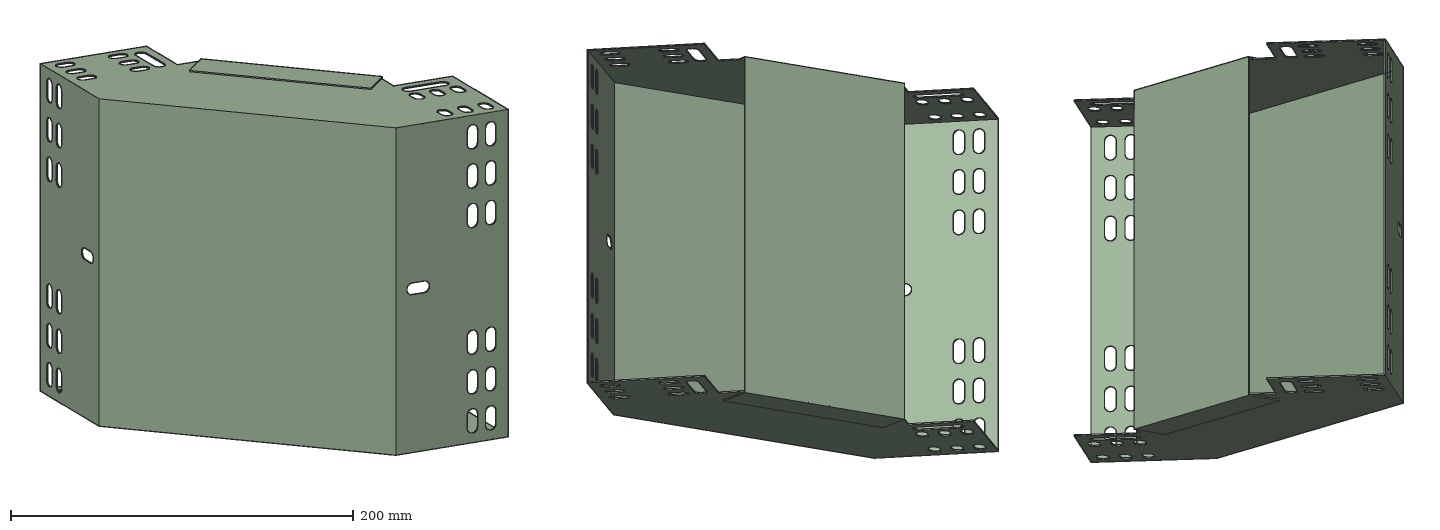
import cadquery as cq
import math

LENGTH = 286.7
DEPTH = 102.0
HEIGHT = 203.3
SHEET = 0.8
FLANK_ANGLE = 45.0
CUT_DEPTH = 4 * SHEET

FLANK_RUN = 52.5
NOTCH_RUN = 27.5

COVER_LENGTH = 111.3
COVER_REAR = 87.0
LIP_DEPTH = 23.0

FLANK_SLOT_LENGTH = 15.0
FLANK_SLOT_WIDTH = 7.0
FLANK_SLOT_ALONG = (11.5, 23.5)
FLANK_SLOT_HEIGHTS = (39.0, 63.5, 87.5)

CENTRE_SLOT_LENGTH = 15.0
CENTRE_SLOT_WIDTH = 7.2
CENTRE_SLOT_ALONG = 59.4

PLATE_SLOT_LENGTH = 12.0
PLATE_SLOT_WIDTH = 7.0
PLATE_SLOT_FIRST = 8.5
PLATE_SLOT_PITCH = 13.5
PLATE_SLOTS_PER_ROW = 3
PLATE_SLOT_INWARD = (12.0, 47.0)

LONG_SLOT_LENGTH = 30.0
LONG_SLOT_WIDTH = 7.5
LONG_SLOT_ALONG = 23.0
LONG_SLOT_INWARD = 60.5

TRAY_HEIGHT = HEIGHT - 2 * SHEET
INNER_HEIGHT = TRAY_HEIGHT - 2 * SHEET
CORNER_X = LENGTH / 2
FRONT_CORNER_X = CORNER_X - FLANK_RUN
TIP_X = CORNER_X - (DEPTH - FLANK_RUN)
NOTCH_X = TIP_X - NOTCH_RUN
NOTCH_Y = DEPTH - NOTCH_RUN
PLATE_REAR = COVER_REAR - SHEET
PLATE_REAR_X = NOTCH_X - (PLATE_REAR - NOTCH_Y)


def mirrored_outline(right_half):
    """Closed outline from its +X points, listed from front to rear."""
    left_half = [(-x, y) for x, y in reversed(right_half)]
    return cq.Workplane("XY").polyline(right_half + left_half).close()


def slot(length, width, angle):
    """Slot cutter around the origin, its long axis turned from X in the XY plane."""
    return cq.Workplane("XY").slot2D(length, width, angle).extrude(CUT_DEPTH / 2, both=True)


def at_flank(cutter, along, inward, z):
    """Move a cutter from flank coordinates to the left flank of the tray."""
    return (
        cutter.translate((along, inward, z))
        .rotate((0, 0, 0), (0, 0, 1), -FLANK_ANGLE)
        .translate((-CORNER_X, FLANK_RUN, 0))
    )


def flank_wall_slots():
    """Cutters for the upright slots and the single centre slot of the left flank."""
    upright = slot(FLANK_SLOT_LENGTH, FLANK_SLOT_WIDTH, 90).rotate((0, 0, 0), (1, 0, 0), 90)
    centre = slot(CENTRE_SLOT_LENGTH, CENTRE_SLOT_WIDTH, 0).rotate((0, 0, 0), (1, 0, 0), 90)
    cutters = [at_flank(centre, CENTRE_SLOT_ALONG, 0, 0)]
    for along in FLANK_SLOT_ALONG:
        for height in FLANK_SLOT_HEIGHTS:
            cutters.append(at_flank(upright, along, 0, height))
            cutters.append(at_flank(upright, along, 0, -height))
    return cutters


def plate_slots():
    """Cutters for the slots at the left end of the top and bottom plates."""
    row_slot = slot(PLATE_SLOT_LENGTH, PLATE_SLOT_WIDTH, 90)
    long_slot = slot(LONG_SLOT_LENGTH, LONG_SLOT_WIDTH, 0)
    plate_middle = (TRAY_HEIGHT - SHEET) / 2
    cutters = []
    for z in (-plate_middle, plate_middle):
        cutters.append(at_flank(long_slot, LONG_SLOT_ALONG, LONG_SLOT_INWARD, z))
        for inward in PLATE_SLOT_INWARD:
            for index in range(PLATE_SLOTS_PER_ROW):
                along = PLATE_SLOT_FIRST + index * PLATE_SLOT_PITCH
                cutters.append(at_flank(row_slot, along, inward, z))
    return cutters


def make_tray():
    """Top and bottom plates joined by the front wall and flanks, open at rear and ends."""
    outline = [
        (FRONT_CORNER_X, 0),
        (CORNER_X, FLANK_RUN),
        (TIP_X, DEPTH),
        (NOTCH_X, NOTCH_Y),
        (PLATE_REAR_X, PLATE_REAR),
    ]
    tray = mirrored_outline(outline).extrude(TRAY_HEIGHT / 2, both=True)

    slope_shift = SHEET * math.tan(math.radians(FLANK_ANGLE / 2))
    inner_front_x = FRONT_CORNER_X - slope_shift
    hollow_outline = [
        (inner_front_x, SHEET),
        (inner_front_x + DEPTH, SHEET + DEPTH),
    ]
    tray = tray.cut(mirrored_outline(hollow_outline).extrude(INNER_HEIGHT / 2, both=True))

    for cutter in flank_wall_slots() + plate_slots():
        tray = tray.cut(cutter).cut(cutter.mirror("YZ"))
    return tray


def make_rear_cover():
    """Rear wall with a lip lying on the top plate and one under the bottom plate."""
    lip_front = COVER_REAR - LIP_DEPTH
    block = cq.Workplane("XY").box(COVER_LENGTH, LIP_DEPTH, HEIGHT, centered=(True, False, True))
    opening = cq.Workplane("XY").box(
        COVER_LENGTH, LIP_DEPTH - SHEET, TRAY_HEIGHT, centered=(True, False, True)
    )
    return block.cut(opening).translate((0, lip_front, 0))


tray = make_tray()
rear_cover = make_rear_cover()
result = cq.Compound.makeCompound([tray.val(), rear_cover.val()])